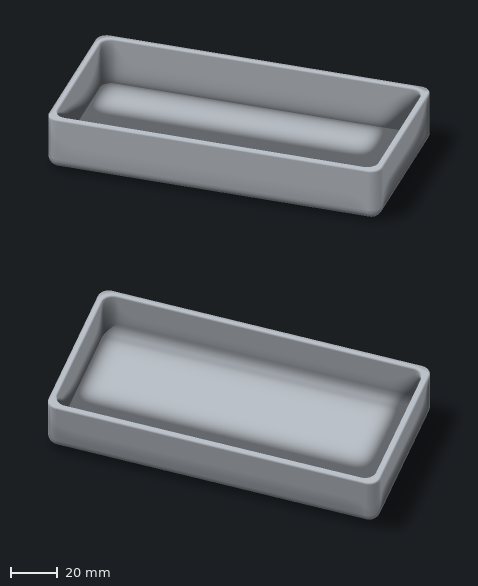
import cadquery as cq

length = 150.0
width = length / 2
height = length / 6
corner_radius = length / 30
base_radius = 5.0

wall = 3.0
floor = 3.0
scoop_radius = corner_radius
rim_radius = wall / 3


def make_body():
    """Solid block with rounded vertical corners and a rounded base."""
    block = cq.Workplane("XY").box(length, width, height, centered=(True, True, False))
    return block.edges("|Z").fillet(corner_radius).faces("<Z").edges().fillet(base_radius)


def make_cavity():
    """Pocket with rounded corners and a scoop along the -Y floor edge only."""
    pocket_length = length - 2 * wall
    pocket_width = width - 2 * wall
    pocket_depth = height - floor
    block = (
        cq.Workplane("XY")
        .workplane(offset=floor)
        .box(pocket_length, pocket_width, pocket_depth, centered=(True, True, False))
    )
    scooped = block.edges("|X and <Y and <Z").fillet(scoop_radius)
    rounded = block.edges("|Z").fillet(corner_radius)
    return scooped.intersect(rounded)


tray = make_body().cut(make_cavity())
result = tray.faces(">Z").edges().fillet(rim_radius)